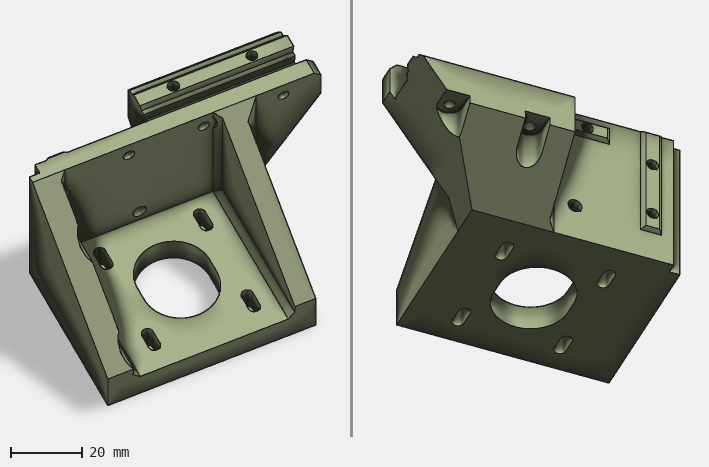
import cadquery as cq


LENGTH = 89.7
HEIGHT = 45.7
WIDTH = 74.5
PLATE_LEFT = 20.4
PLATE_RIGHT = 25.6
END_CHAMFER = 2.15
STEP_WIDTH = 3.1
STEP_LENGTH = 3.2

SHELF_THICKNESS = 8.0
SHELF_BACK = 64.7
FRONT_GUSSET_THICKNESS = 8.0
BACK_GUSSET_THICKNESS = 6.55
GUSSET_END_HEIGHT = 12.7
INNER_CHAMFER = 2.1
OUTER_CHAMFER = 4.8

MOTOR_X = 48.8
MOTOR_Y = 33.8
MOTOR_BORE = 22.5
MOTOR_TRAVEL = 4.5
MOTOR_SCREW_SPACING = 31.0
SLOT_WIDTH = 3.5

BLOCK_FRONT = 41.9
LEDGE_HEIGHT = 33.0
RIB_STEP = 1.1
RIB_LOWER_WIDTH = 11.4
RIB_UPPER_WIDTH = 6.3
BLOCK_CHAMFER = 2.15
RAIL_X = RIB_LOWER_WIDTH / 2
RIB_TOP = LEDGE_HEIGHT + 2 * RIB_STEP

STRIP_RISE = 1.1
LONG_STRIP_FRONT = 22.8
LONG_STRIP_BACK = 84.5
LONG_STRIP_BOTTOM = 37.9
LONG_STRIP_TOP = 43.8
UPRIGHT_STRIP_FRONT = 6.9
UPRIGHT_STRIP_BACK = 13.3
UPRIGHT_STRIP_BOTTOM = 9.8
UPRIGHT_STRIP_OVERRUN = 0.4

SCREW_HOLE = 3.5
END_SCREW_HOLE = 3.2
HEAD_BORE = 7.5
CABLE_HOLE = 4.2
CABLE_HOLE_Y = 33.3
CABLE_HOLE_Z = 11.9
RAIL_HOLES = ((53.3, SCREW_HOLE), (77.7, END_SCREW_HOLE))
RAIL_HEAD_SEAT = 23.0
LONG_STRIP_HOLES = ((29.95, SCREW_HOLE), (53.3, SCREW_HOLE), (78.0, END_SCREW_HOLE))
LONG_STRIP_HOLE_Z = (LONG_STRIP_BOTTOM + LONG_STRIP_TOP) / 2
UPRIGHT_STRIP_HOLE_Y = (UPRIGHT_STRIP_FRONT + UPRIGHT_STRIP_BACK) / 2
UPRIGHT_STRIP_HOLE_ZS = (16.0, 33.8)


def box(x_range, y_range, z_range):
    """Block between the given limits along each axis."""
    (x0, x1), (y0, y1), (z0, z1) = x_range, y_range, z_range
    return cq.Workplane("XY").box(x1 - x0, y1 - y0, z1 - z0, centered=False).translate((x0, y0, z0))


def side_profile(points, y_front, y_back):
    """Extrude an X-Z outline along Y."""
    outline = cq.Workplane("XZ", origin=(0, y_front, 0)).polyline(points).close()
    return outline.extrude(y_front - y_back)


def plan_prism(points, z_bottom, z_top):
    """Extrude an X-Y outline upward."""
    return cq.Workplane("XY", origin=(0, 0, z_bottom)).polyline(points).close().extrude(z_top - z_bottom)


def x_cylinder(diameter, x_start, x_end, y, z):
    """Cylinder along X."""
    return cq.Workplane("YZ", origin=(x_start, y, z)).circle(diameter / 2).extrude(x_end - x_start)


def plate():
    stepped = box((PLATE_LEFT, PLATE_RIGHT), (0, LENGTH), (0, HEIGHT))
    stepped = stepped.edges("|X and >Y and >Z").chamfer(END_CHAMFER)
    step = box((PLATE_LEFT, PLATE_LEFT + STEP_WIDTH), (0, STEP_LENGTH), (0, HEIGHT))
    return stepped.cut(step)


def gusseted_shelf():
    """Shelf and both gussets: a sloping wedge with a pocket between the gussets."""
    wedge = side_profile(
        [
            (PLATE_RIGHT, 0),
            (WIDTH, 0),
            (WIDTH, GUSSET_END_HEIGHT),
            (PLATE_RIGHT, HEIGHT),
        ],
        0,
        SHELF_BACK + OUTER_CHAMFER,
    )
    plan = plan_prism(
        [
            (PLATE_RIGHT, 0),
            (WIDTH, 0),
            (WIDTH, SHELF_BACK),
            (PLATE_RIGHT + OUTER_CHAMFER, SHELF_BACK),
            (PLATE_RIGHT, SHELF_BACK + OUTER_CHAMFER),
        ],
        0,
        HEIGHT,
    )
    pocket = box(
        (PLATE_RIGHT, WIDTH + INNER_CHAMFER),
        (FRONT_GUSSET_THICKNESS, SHELF_BACK - BACK_GUSSET_THICKNESS),
        (SHELF_THICKNESS, HEIGHT),
    )
    floor_sides = pocket.faces("<Z").edges("|X")
    pocket = floor_sides.chamfer(INNER_CHAMFER).edges("|Z and <X").chamfer(INNER_CHAMFER)
    return wedge.intersect(plan).cut(pocket)


def motor_cutouts():
    """Elongated pilot hole and four parallel screw slots."""
    through = cq.Workplane("XY", origin=(MOTOR_X, MOTOR_Y, 0))
    bore = through.slot2D(MOTOR_BORE + MOTOR_TRAVEL, MOTOR_BORE).extrude(SHELF_THICKNESS)
    slots = through.rect(MOTOR_SCREW_SPACING, MOTOR_SCREW_SPACING, forConstruction=True).vertices()
    return bore.union(slots.slot2D(SLOT_WIDTH + MOTOR_TRAVEL, SLOT_WIDTH).extrude(SHELF_THICKNESS))


def rail_block():
    """Block with a 45 degree underside, a two-step rib and a chamfered corner at the plate."""
    middle = LEDGE_HEIGHT + RIB_STEP
    upper_left = RAIL_X - RIB_UPPER_WIDTH / 2
    upper_right = RAIL_X + RIB_UPPER_WIDTH / 2
    profile = [
        (0, PLATE_LEFT),
        (0, LEDGE_HEIGHT),
        (RIB_STEP, middle),
        (upper_left, middle),
        (upper_left + RIB_STEP, RIB_TOP),
        (upper_right - RIB_STEP, RIB_TOP),
        (upper_right, middle),
        (RIB_LOWER_WIDTH - RIB_STEP, middle),
        (RIB_LOWER_WIDTH, LEDGE_HEIGHT),
        (PLATE_LEFT, LEDGE_HEIGHT),
        (PLATE_LEFT, 0),
    ]
    corner_front = BLOCK_FRONT - BLOCK_CHAMFER
    block = side_profile(profile, corner_front, LENGTH)
    removed = plan_prism(
        [
            (0, corner_front),
            (PLATE_LEFT, corner_front),
            (PLATE_LEFT - BLOCK_CHAMFER, BLOCK_FRONT),
            (0, BLOCK_FRONT),
        ],
        0,
        RIB_TOP,
    )
    return block.cut(removed)


def end_slope():
    """Wedge removed from the back end, rising from the shelf's back edge to the rib top."""
    outline = [(SHELF_BACK, 0), (LENGTH, RIB_TOP), (LENGTH, 0)]
    return cq.Workplane("YZ").polyline(outline).close().extrude(WIDTH)


def bevelled_strip(y_range, z_range):
    """Strip on the plate face whose sides all slope at 45 degrees."""
    strip = box((PLATE_LEFT - STRIP_RISE, PLATE_RIGHT), y_range, z_range)
    return strip.faces("<X").edges().chamfer(STRIP_RISE)


def rail_screw(y, diameter):
    """Vertical rail hole whose head bore is open toward the block's outer face."""
    axis = cq.Workplane("XY", origin=(RAIL_X, y, 0))
    hole = axis.circle(diameter / 2).extrude(HEIGHT)
    head = axis.circle(HEAD_BORE / 2).extrude(RAIL_HEAD_SEAT)
    opening = box((0, RAIL_X), (y - HEAD_BORE / 2, y + HEAD_BORE / 2), (0, RAIL_HEAD_SEAT))
    return hole.union(head).union(opening)


def plate_screw(y, z, diameter):
    """Hole along X through the strip and plate, with a head bore clearing everything behind it."""
    hole = x_cylinder(diameter, PLATE_LEFT - STRIP_RISE, PLATE_RIGHT, y, z)
    return hole.union(x_cylinder(HEAD_BORE, PLATE_RIGHT, WIDTH, y, z))


def locating_strips():
    """Long strip along the plate, and an upright one whose top bevel is cut off at the plate top."""
    long_strip = bevelled_strip((LONG_STRIP_FRONT, LONG_STRIP_BACK), (LONG_STRIP_BOTTOM, LONG_STRIP_TOP))
    upright_strip = bevelled_strip(
        (UPRIGHT_STRIP_FRONT, UPRIGHT_STRIP_BACK),
        (UPRIGHT_STRIP_BOTTOM, HEIGHT + UPRIGHT_STRIP_OVERRUN),
    )
    below_plate_top = box((0, WIDTH), (0, LENGTH), (0, HEIGHT))
    return long_strip.union(upright_strip.intersect(below_plate_top))


result = plate().union(gusseted_shelf()).union(rail_block()).cut(end_slope())
result = result.union(locating_strips()).cut(motor_cutouts())

for hole_y, hole_diameter in RAIL_HOLES:
    result = result.cut(rail_screw(hole_y, hole_diameter))

for hole_y, hole_diameter in LONG_STRIP_HOLES:
    result = result.cut(plate_screw(hole_y, LONG_STRIP_HOLE_Z, hole_diameter))

for hole_z in UPRIGHT_STRIP_HOLE_ZS:
    result = result.cut(plate_screw(UPRIGHT_STRIP_HOLE_Y, hole_z, SCREW_HOLE))

result = result.cut(x_cylinder(CABLE_HOLE, PLATE_LEFT, PLATE_RIGHT, CABLE_HOLE_Y, CABLE_HOLE_Z))